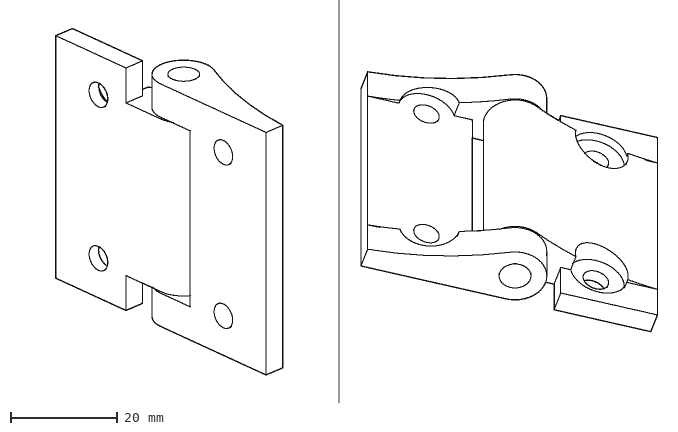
import cadquery as cq
import math

width = 57.0
height = 51.0
edge_thickness = 4.4

axis_x = width / 2
knuckle_diameter = 11.95
knuckle_radius = knuckle_diameter / 2
axis_y = knuckle_radius
bore_diameter = 6.0

sweep_radius = 71.25

end_knuckle_length = 7.0
centre_knuckle_inset = 7.35
plate_width = 19.05
window_edge_x = 36.4

hole_diameter = 5.0
hole_spacing_x = 33.85
hole_spacing_z = 34.35
spotface_diameter = 11.2
centre_leaf_floor = 2.5
outer_leaf_floor = edge_thickness


def block(x_min, x_max, y_size, z_min, z_max):
    """Box standing on the mounting face between the given limits."""
    size_x = x_max - x_min
    size_z = z_max - z_min
    return cq.Workplane("XY").box(size_x, y_size, size_z, centered=False).translate((x_min, 0, z_min))


def swept_profile(side, z_min, z_max):
    """Knuckle with a tapering leaf; side is +1 for the +X leaf, -1 for the -X leaf."""
    half_width = width / 2
    edge_rise = edge_thickness - axis_y
    chord = math.hypot(half_width, edge_rise)
    axis_to_centre = sweep_radius + knuckle_radius
    chord_angle = math.atan2(edge_rise, half_width)
    cosine = (chord**2 + axis_to_centre**2 - sweep_radius**2) / (2 * chord * axis_to_centre)
    tangent_angle = chord_angle + math.acos(cosine)
    centre_u = axis_to_centre * math.cos(tangent_angle)
    centre_v = axis_to_centre * math.sin(tangent_angle)
    edge_angle = math.atan2(edge_rise - centre_v, half_width - centre_u)
    sweep_mid_angle = (edge_angle + tangent_angle - math.pi) / 2

    def place(u, v):
        return (axis_x + side * u, axis_y + v)

    sweep_mid = place(
        centre_u + sweep_radius * math.cos(sweep_mid_angle),
        centre_v + sweep_radius * math.sin(sweep_mid_angle),
    )
    tangent_point = place(
        knuckle_radius * math.cos(tangent_angle),
        knuckle_radius * math.sin(tangent_angle),
    )
    return (
        cq.Workplane("XY", origin=(0, 0, z_min))
        .moveTo(*place(0, -axis_y))
        .lineTo(*place(half_width, -axis_y))
        .lineTo(*place(half_width, edge_rise))
        .threePointArc(sweep_mid, tangent_point)
        .threePointArc(place(-knuckle_radius, 0), place(0, -knuckle_radius))
        .close()
        .extrude(z_max - z_min)
    )


def pin_bore():
    return cq.Workplane("XY").center(axis_x, axis_y).circle(bore_diameter / 2).extrude(height)


def mounting_cylinders(side, diameter, y_min, depth):
    """Upper and lower cylinders along Y on the mounting hole centres of one leaf."""
    hole_x = axis_x + side * hole_spacing_x / 2
    return (
        cq.Workplane("XZ", origin=(hole_x, y_min, height / 2))
        .rarray(0.55, hole_spacing_z, 1, 2)
        .circle(diameter / 2)
        .extrude(-depth)
    )


def cut_mounting_holes(leaf, side, floor_y):
    """Through holes with spotfaces whose floors lie floor_y from the mounting face."""
    holes = mounting_cylinders(side, hole_diameter, 0, knuckle_diameter)
    spotfaces = mounting_cylinders(side, spotface_diameter, floor_y, knuckle_diameter)
    return leaf.cut(holes).cut(spotfaces)


def make_centre_leaf():
    """-X leaf: a flat plate carrying the single centre knuckle."""
    plate = block(0, plate_width, edge_thickness, 0, height)
    knuckle = swept_profile(-1, centre_knuckle_inset, height - centre_knuckle_inset)
    leaf = plate.union(knuckle).cut(pin_bore())
    return cut_mounting_holes(leaf, -1, centre_leaf_floor)


def make_outer_leaf():
    """+X leaf: a flat plate carrying a knuckle at each end."""
    plate = block(window_edge_x, width, edge_thickness, 0, height)
    lower_knuckle = swept_profile(1, 0, end_knuckle_length)
    upper_knuckle = swept_profile(1, height - end_knuckle_length, height)
    leaf = plate.union(lower_knuckle).union(upper_knuckle).cut(pin_bore())
    return cut_mounting_holes(leaf, 1, outer_leaf_floor)


centre_leaf = make_centre_leaf()
outer_leaf = make_outer_leaf()

result = cq.Compound.makeCompound([centre_leaf.val(), outer_leaf.val()])